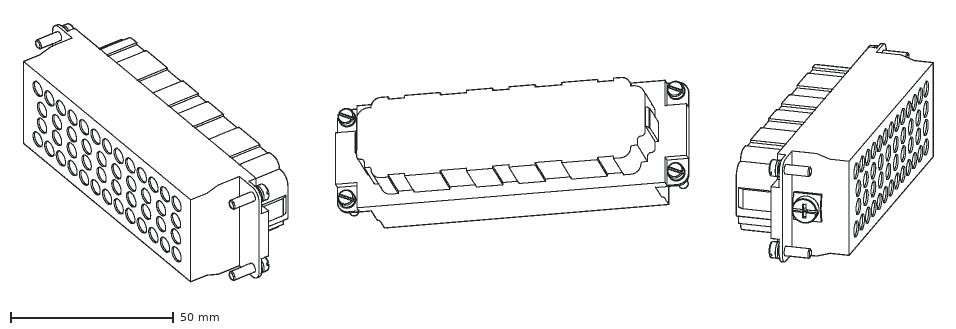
import cadquery as cq
import math


body_length = 89.9
flange_length = 111.0
flange_height = 33.9
flange_half_height = flange_height / 2
face_half_height = 15.5
slope_start_y = 6.1
slope_end_y = 10.4
flange_front_y = 18.3
flange_rear_y = 22.0
mating_end_y = 36.2

corner_radius = 3.4
screw_inset = corner_radius
screw_x = flange_length / 2 - screw_inset
screw_z = flange_half_height - screw_inset
pocket_floor_y = 19.3
pocket_inner_x = 48.7
pocket_inner_z = 8.5

shank_diameter = 3.0
shank_tip_y = 10.3
tip_chamfer = 0.3
washer_diameter = 5.2
washer_front_y = 20.2
washer_rear_y = 20.9
head_diameter = 5.1
head_rear_y = 23.0
head_chamfer = 0.3
head_slot_width = 0.7
head_slot_depth = 0.8
head_slot_angle = 24.0

hole_diameter = 5.0
hole_depth = 0.5
outer_row_count = 13
outer_row_pitch = 6.2
outer_row_z = 9.5
inner_row_count = 10
inner_row_pitch = 8.0
inner_row_start_x = -35.0
inner_row_z = 3.0

insert_half_length = 45.6
insert_half_height = 13.3
rib_step = 0.8
rib_spans = ((2.5, 10.9), (19.2, 30.5))
end_rib_start_x = 35.6
lobe_start_x = 38.0
lobe_radius = 3.1
lobe_end_x = lobe_start_x + lobe_radius
lobe_end_z = insert_half_height - lobe_radius
upper_corner_radius = 3.7
relief_radius = 0.7
lower_shoulder_half_length = 43.2
lower_shoulder_z = -7.9
scallop_radius = (insert_half_length - lower_shoulder_half_length) / 2

key_root_x = 44.4
key_half_height = 3.2
key_half_length = 46.6
key_rear_y = 33.7
key_nose_rear_y = 35.4
key_nose_half_length = 46.3

terminal_y = 12.5
terminal_shank_diameter = 4.0
terminal_head_diameter = 8.0
terminal_head_outer_x = -51.3
terminal_head_inner_x = -48.6
terminal_head_chamfer = 0.2
terminal_slot_width = 1.0
terminal_slot_depth = 1.0
terminal_short_slot_length = 4.4
terminal_recess_diameter = 1.3
terminal_recess_depth = 1.7
plate_size = 8.9
plate_edge_x = -46.8
plate_thickness = 0.9
plate_bow = 1.0

arc_middle = math.sqrt(0.5)


def box(x_range, y_range, z_range):
    """Box between the given limits on each axis."""
    ranges = (x_range, y_range, z_range)
    size = [high - low for low, high in ranges]
    corner = [low for low, high in ranges]
    return cq.Workplane("XY").box(*size, centered=False).translate(tuple(corner))


def section(y):
    """XZ sketch plane at the given Y; a negative extrusion grows towards +Y."""
    return cq.Workplane("XZ", origin=(0, y, 0))


def rod(x, z, diameter, start_y, end_y):
    """Cylinder along Y."""
    return section(start_y).center(x, z).circle(diameter / 2).extrude(start_y - end_y)


def terminal_rod(diameter, start_x, end_x):
    """Cylinder along X on the earth terminal axis."""
    plane = cq.Workplane("YZ", origin=(start_x, terminal_y, 0))
    return plane.circle(diameter / 2).extrude(end_x - start_x)


def make_body():
    upper = [
        (0, face_half_height),
        (slope_start_y, face_half_height),
        (slope_end_y, flange_half_height),
        (flange_rear_y, flange_half_height),
    ]
    lower = [(y, -z) for y, z in reversed(upper)]
    return cq.Workplane("YZ").polyline(upper + lower).close().extrude(body_length / 2, both=True)


def make_flange():
    flange = (
        section(flange_front_y)
        .rect(flange_length, flange_height)
        .extrude(flange_front_y - flange_rear_y)
        .edges("|Y")
        .fillet(corner_radius)
    )
    pocket = box(
        (pocket_inner_x, flange_length / 2),
        (pocket_floor_y, flange_rear_y),
        (pocket_inner_z, flange_half_height),
    )
    right_pockets = pocket.union(pocket.mirror("XY"))
    return flange.cut(right_pockets).cut(right_pockets.mirror("YZ"))


def make_fixing_screw(x, z):
    shank = rod(x, z, shank_diameter, shank_tip_y, head_rear_y - head_slot_depth)
    shank = shank.faces("<Y").chamfer(tip_chamfer)
    washer = rod(x, z, washer_diameter, washer_front_y, washer_rear_y)
    head = rod(x, z, head_diameter, washer_rear_y, head_rear_y).faces(">Y").chamfer(head_chamfer)
    slot = (
        section(head_rear_y - head_slot_depth)
        .center(x, z)
        .transformed(rotate=(0, 0, head_slot_angle))
        .rect(head_diameter, head_slot_width)
        .extrude(-head_slot_depth)
    )
    return shank.union(washer).union(head.cut(slot))


def make_contact_holes():
    outer_start_x = -outer_row_pitch * (outer_row_count - 1) / 2
    rows = (
        (outer_start_x, outer_row_pitch, outer_row_count, outer_row_z),
        (inner_row_start_x, inner_row_pitch, inner_row_count, inner_row_z),
    )
    centers = [
        (start_x + i * pitch, side * z)
        for start_x, pitch, count, z in rows
        for side in (1, -1)
        for i in range(count)
    ]
    return section(0).pushPoints(centers).circle(hole_diameter / 2).extrude(-hole_depth)


def rib_outline(side):
    """Stepped edge from the middle to the corner lobe; side is 1 for the top, -1 for the bottom."""
    low = side * (insert_half_height - rib_step)
    high = side * insert_half_height
    points = [(0, low)]
    for start_x, end_x in rib_spans:
        points += [(start_x, low), (start_x, high), (end_x, high), (end_x, low)]
    points += [(end_rib_start_x, low), (end_rib_start_x, high), (lobe_start_x, high)]
    return points


def make_insert():
    lobe_middle_x = lobe_start_x + lobe_radius * arc_middle
    lobe_middle_z = lobe_end_z + lobe_radius * arc_middle
    upper_center_x = insert_half_length - upper_corner_radius
    upper_center_z = lobe_end_z - upper_corner_radius
    upper_arc_offset = upper_corner_radius * arc_middle
    scallop_middle_x = lower_shoulder_half_length + scallop_radius
    scallop_middle_z = lower_shoulder_z + scallop_radius
    scallop_offset = scallop_radius * arc_middle
    relief_x = lobe_end_x + relief_radius
    relief_z = relief_radius - lobe_end_z
    relief_offset = relief_radius * arc_middle

    half = (
        section(flange_rear_y)
        .polyline(rib_outline(1))
        .threePointArc((lobe_middle_x, lobe_middle_z), (lobe_end_x, lobe_end_z))
        .lineTo(upper_center_x, lobe_end_z)
        .threePointArc(
            (upper_center_x + upper_arc_offset, upper_center_z + upper_arc_offset),
            (insert_half_length, upper_center_z),
        )
        .lineTo(insert_half_length, scallop_middle_z + scallop_radius)
        .threePointArc(
            (scallop_middle_x + scallop_offset, scallop_middle_z + scallop_radius - scallop_offset),
            (scallop_middle_x, scallop_middle_z),
        )
        .threePointArc(
            (scallop_middle_x - scallop_offset, lower_shoulder_z + scallop_offset),
            (lower_shoulder_half_length, lower_shoulder_z),
        )
        .lineTo(lower_shoulder_half_length, relief_z)
        .lineTo(relief_x, relief_z)
        .threePointArc(
            (relief_x - relief_offset, relief_offset - lobe_end_z),
            (lobe_end_x, -lobe_end_z),
        )
        .threePointArc((lobe_middle_x, -lobe_middle_z), (lobe_start_x, -insert_half_height))
    )
    for point in reversed(rib_outline(-1)[:-1]):
        half = half.lineTo(*point)
    half = half.close().extrude(flange_rear_y - mating_end_y)
    return half.union(half.mirror("YZ"))


def make_key():
    nose_middle_x = insert_half_length + (key_nose_half_length - insert_half_length) * arc_middle
    nose_middle_y = key_rear_y + (key_nose_rear_y - key_rear_y) * arc_middle
    return (
        cq.Workplane("XY")
        .moveTo(key_root_x, flange_rear_y)
        .lineTo(key_half_length, flange_rear_y)
        .lineTo(key_half_length, key_rear_y)
        .lineTo(key_nose_half_length, key_rear_y)
        .threePointArc((nose_middle_x, nose_middle_y), (insert_half_length, key_nose_rear_y))
        .lineTo(key_root_x, key_nose_rear_y)
        .close()
        .extrude(key_half_height, both=True)
    )


def make_clamp_plate():
    """Square plate bowed outward about Y."""
    half = plate_size / 2
    outer_x = plate_edge_x - plate_thickness
    return (
        section(terminal_y - half)
        .moveTo(plate_edge_x, -half)
        .threePointArc((plate_edge_x - plate_bow, 0), (plate_edge_x, half))
        .lineTo(outer_x, half)
        .threePointArc((outer_x - plate_bow, 0), (outer_x, -half))
        .close()
        .extrude(-plate_size)
    )


def make_earth_terminal():
    slot_floor_x = terminal_head_outer_x + terminal_slot_depth
    recess_floor_x = terminal_head_outer_x + terminal_recess_depth
    slot_plane = cq.Workplane("YZ", origin=(terminal_head_outer_x, terminal_y, 0))
    long_slot = slot_plane.rect(terminal_head_diameter, terminal_slot_width).extrude(terminal_slot_depth)
    short_slot = slot_plane.rect(terminal_slot_width, terminal_short_slot_length).extrude(terminal_slot_depth)
    recess = terminal_rod(terminal_recess_diameter, terminal_head_outer_x, recess_floor_x)
    head = terminal_rod(terminal_head_diameter, terminal_head_outer_x, terminal_head_inner_x)
    head = head.faces("<X").chamfer(terminal_head_chamfer)
    head = head.cut(long_slot).cut(short_slot).cut(recess)
    shank = terminal_rod(terminal_shank_diameter, recess_floor_x, -body_length / 2)
    return shank.union(head).union(make_clamp_plate())


result = make_body().union(make_flange()).union(make_insert())
key = make_key()
result = result.union(key).union(key.mirror("YZ"))
result = result.cut(make_contact_holes())
for screw_side_x in (-1, 1):
    for screw_side_z in (-1, 1):
        result = result.union(make_fixing_screw(screw_side_x * screw_x, screw_side_z * screw_z))
result = result.union(make_earth_terminal())